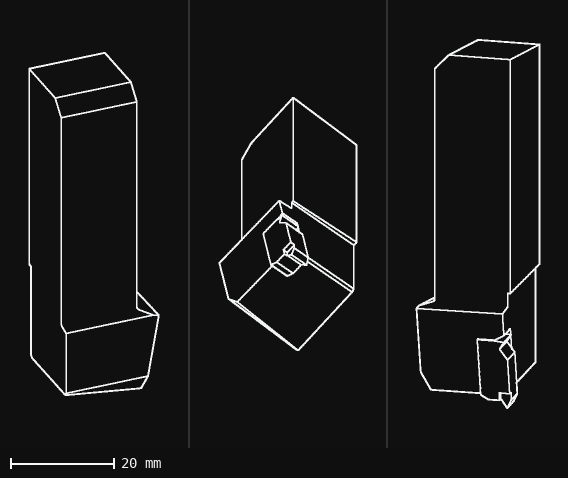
import cadquery as cq
import math

TOTAL_HEIGHT = 69.0
SHANK_WIDTH = 15.65
SHANK_DEPTH = 16.0
SHANK_CHAMFER = 2.9

HEAD_RIGHT = 18.1
SHOULDER_Z = 20.15
SHOULDER_SLOPE = 15.0
SHOULDER_FILLET = 0.55
RELIEF_Z = 6.2
RELIEF_ANGLE = 62.0
BLANK_BACK = 22.1

HEAD_TILT = 10.0
HEAD_TWIST = 1.4
TIP_X, TIP_Y, TIP_Z = 0.75, 12.0, 0.7
HEAD_BACK_DEPTH = 3.85
INSERT_THICKNESS = 4.3

FACE_U = -0.2
FLOOR_W = 2.7
STEP_W = 22.4
EDGE_CHAMFER = 0.55
FAR = 103.5

FLANK_U = -0.8
NOSE_W = 1.65
NOSE_RIGHT = 1.25
LOBE_U = 3.65
INSERT_RIGHT = 5.2
LOBE_W = 2.55
SHOULDER_W = 10.2
NOTCH_U, NOTCH_W = 0.7, 12.35
UPPER_TIP_U, UPPER_TIP_W = -0.3, 13.8
INSERT_TOP_W = 14.0
CLEARANCE_U = 1.7
CLEARANCE_W = 15.05
RELIEF_TOP_W = 3.1
NOSE_BACK_Y = 15.85

tilt = math.radians(HEAD_TILT)
twist = math.radians(HEAD_TWIST)
right_direction = cq.Vector(math.cos(twist), math.sin(twist), 0)
level_front = cq.Vector(math.sin(twist), -math.cos(twist), 0)
front_direction = level_front * math.cos(tilt) + cq.Vector(0, 0, math.sin(tilt))
cutting_plane = cq.Plane(
    origin=(TIP_X, TIP_Y, TIP_Z), xDir=right_direction, normal=front_direction
)


def tilted_prism(outline, front_depth, back_depth):
    """Extrude a (u, w) outline between two depths measured toward the back."""
    return (
        cq.Workplane(cutting_plane)
        .workplane(offset=-back_depth)
        .polyline(outline)
        .close()
        .extrude(back_depth - front_depth)
    )


def make_shank():
    shank = cq.Workplane("XY").box(SHANK_WIDTH, SHANK_DEPTH, TOTAL_HEIGHT, centered=False)
    return shank.faces(">Z").edges(">X").chamfer(SHANK_CHAMFER)


def make_head():
    slope = math.tan(math.radians(SHOULDER_SLOPE))
    side_shoulder_z = SHOULDER_Z - (HEAD_RIGHT - SHANK_WIDTH) * slope
    back_shoulder_z = SHOULDER_Z - (BLANK_BACK - SHANK_DEPTH) * slope
    relief_run = RELIEF_Z / math.tan(math.radians(RELIEF_ANGLE))
    front_outline = [
        (0, 0), (HEAD_RIGHT - relief_run, 0), (HEAD_RIGHT, RELIEF_Z),
        (HEAD_RIGHT, side_shoulder_z), (SHANK_WIDTH, SHOULDER_Z), (0, SHOULDER_Z),
    ]
    side_outline = [
        (0, 0), (BLANK_BACK, 0), (BLANK_BACK, back_shoulder_z),
        (SHANK_DEPTH, SHOULDER_Z), (0, SHOULDER_Z),
    ]
    front_prism = cq.Workplane("XZ").polyline(front_outline).close().extrude(-BLANK_BACK)
    side_prism = cq.Workplane("YZ").polyline(side_outline).close().extrude(HEAD_RIGHT)
    return front_prism.intersect(side_prism)


def head_envelope():
    """Tilted underside, left face, step and back face of the head."""
    outline = [
        (FACE_U, FLOOR_W + EDGE_CHAMFER), (FACE_U + EDGE_CHAMFER, FLOOR_W),
        (FAR, FLOOR_W), (FAR, FAR), (-FAR, FAR), (-FAR, STEP_W), (FACE_U, STEP_W),
    ]
    return tilted_prism(outline, -FAR, HEAD_BACK_DEPTH)


def insert_pocket():
    """Seat for the insert, open to the left, the back and the underside."""
    outline = [
        (-FAR, -FAR), (INSERT_RIGHT, -FAR), (INSERT_RIGHT, INSERT_TOP_W),
        (CLEARANCE_U, INSERT_TOP_W), (FACE_U, CLEARANCE_W), (-FAR, CLEARANCE_W),
    ]
    return tilted_prism(outline, 0, FAR)


def make_holder():
    holder = make_shank().union(make_head())
    side_edge = cq.selectors.NearestToPointSelector((SHANK_WIDTH, SHANK_DEPTH / 2, SHOULDER_Z))
    back_edge = cq.selectors.NearestToPointSelector((SHANK_WIDTH / 2, SHANK_DEPTH, SHOULDER_Z))
    holder = holder.edges(side_edge + back_edge).fillet(SHOULDER_FILLET)
    return holder.intersect(head_envelope()).cut(insert_pocket())


def make_insert():
    outline = [
        (0, 0), (NOSE_RIGHT, NOSE_W), (LOBE_U, NOSE_W), (INSERT_RIGHT, LOBE_W),
        (INSERT_RIGHT, INSERT_TOP_W), (CLEARANCE_U, INSERT_TOP_W),
        (UPPER_TIP_U, UPPER_TIP_W), (NOTCH_U, NOTCH_W),
        (FLANK_U, SHOULDER_W), (FLANK_U, NOSE_W),
    ]
    insert = tilted_prism(outline, 0, INSERT_THICKNESS)
    relief = cq.Workplane("XY").box(
        2 * (TIP_X + NOSE_RIGHT), FAR, 2 * RELIEF_TOP_W, centered=(True, False, True)
    ).translate((0, NOSE_BACK_Y, 0))
    return insert.cut(relief)


holder = make_holder()
insert = make_insert()
result = cq.Compound.makeCompound([holder.val(), insert.val()])